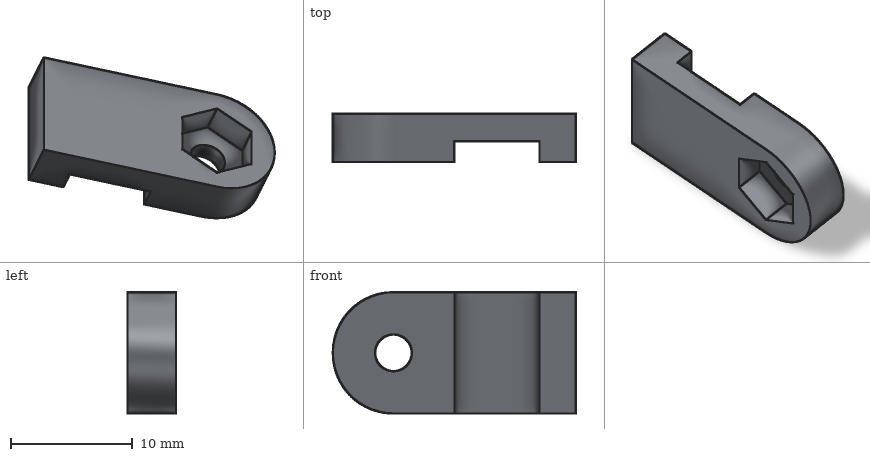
import cadquery as cq
import math

length = 20.0
thickness = 4.0
height = 10.0

end_radius = height / 2
hole_diameter = 3.0

nut_across_flats = 6.0
nut_pocket_depth = 2.5
flats_vertical_angle = 30.0

lip_length = 3.0
channel_start = length / 2
channel_length = length - lip_length - channel_start
channel_depth = 1.7


def make_body():
    """Plate with a full-round end at X = 0 and its front face at Y = 0."""
    return (
        cq.Workplane("XZ")
        .moveTo(end_radius, end_radius)
        .lineTo(length, end_radius)
        .lineTo(length, -end_radius)
        .lineTo(end_radius, -end_radius)
        .threePointArc((0, 0), (end_radius, end_radius))
        .close()
        .extrude(-thickness)
    )


def make_hole():
    """Through hole concentric with the rounded end."""
    return (
        cq.Workplane("XZ")
        .center(end_radius, 0)
        .circle(hole_diameter / 2)
        .extrude(-thickness)
    )


def make_nut_pocket():
    """Hexagonal pocket with two of its flats parallel to the Z axis."""
    across_corners = nut_across_flats / math.cos(math.pi / 6)
    return (
        cq.Workplane("XZ", origin=(end_radius, thickness, 0))
        .transformed(rotate=(0, 0, flats_vertical_angle))
        .polygon(6, across_corners)
        .extrude(nut_pocket_depth)
    )


def make_channel():
    """Rectangular channel running the full height of the front face."""
    return (
        cq.Workplane("XY")
        .box(channel_length, channel_depth, height, centered=(False, False, True))
        .translate((channel_start, 0, 0))
    )


result = make_body().cut(make_hole()).cut(make_nut_pocket()).cut(make_channel())